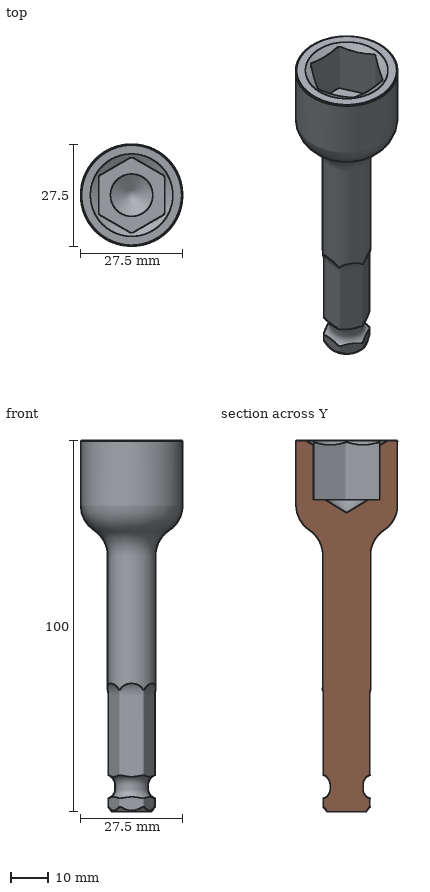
import cadquery as cq
import math

length = 100.0
head_radius = 13.75
head_height = 17.5
rim_chamfer = 0.3
blend_radius = 8.0

socket_flats = 17.8
socket_corner_radius = 1.0
socket_depth = 16.0
mouth_radius = 11.1
mouth_angle = 30.0
drill_radius = 5.7
drill_point_angle = 118.0

shank_radius = 6.5
hex_flats = 11.1
hex_corner_radius = 0.7
flat_top = 31.5
runout_radius = 5.5
flare_height = 4.0

groove_height = 6.7
neck_radius = 4.5
neck_length = 1.2
upper_groove_radius = 2.8
lower_groove_radius = 2.5
tip_radius = 5.25
tip_chamfer_height = 1.4
hex_tip_radius = (
    hex_flats / 2 / math.cos(math.radians(30))
    - hex_corner_radius * (1 / math.cos(math.radians(30)) - 1)
)


def make_body():
    """Solid of revolution: head, S-shaped shoulder and plain shank."""
    shoulder_top = length - head_height
    radial_half = (head_radius - shank_radius) / 2
    sweep = math.acos(1 - radial_half / blend_radius)
    half_height = blend_radius * math.sin(sweep)
    mid_drop = blend_radius * math.sin(sweep / 2)
    mid_inset = blend_radius * (1 - math.cos(sweep / 2))
    shoulder_bottom = shoulder_top - 2 * half_height
    return (
        cq.Workplane("XZ")
        .lineTo(shank_radius, 0)
        .lineTo(shank_radius, shoulder_bottom)
        .threePointArc(
            (shank_radius + mid_inset, shoulder_bottom + mid_drop),
            (shank_radius + radial_half, shoulder_bottom + half_height),
        )
        .threePointArc(
            (head_radius - mid_inset, shoulder_top - mid_drop),
            (head_radius, shoulder_top),
        )
        .lineTo(head_radius, length - rim_chamfer)
        .lineTo(head_radius - rim_chamfer, length)
        .lineTo(0, length)
        .close()
        .revolve(360, (0, 0, 0), (0, 1, 0))
    )


def make_flared_hexagon():
    """Rounded hexagonal bar whose flats curve outward past the shank surface."""
    flat = hex_flats / 2
    outside = flat + runout_radius
    flare_top = flat_top + runout_radius
    arc_middle = runout_radius * math.sin(math.radians(45))
    blank_radius = outside / math.cos(math.radians(30))
    cutter = (
        cq.Workplane("XZ")
        .moveTo(flat, 0)
        .lineTo(flat, flat_top)
        .threePointArc(
            (outside - arc_middle, flat_top + arc_middle),
            (outside, flare_top),
        )
        .lineTo(2 * outside, flare_top)
        .lineTo(2 * outside, 0)
        .close()
        .extrude(blank_radius, both=True)
    )
    blank_height = flat_top + flare_height
    flare = cq.Workplane("XY").circle(blank_radius).extrude(blank_height)
    for side in range(6):
        flare = flare.cut(cutter.rotate((0, 0, 0), (0, 0, 1), 30 + 60 * side))
    return flare.edges("|Z").fillet(hex_corner_radius)


def cut_drive_flats(body):
    """Remove the shank material outside the flared hexagonal bar."""
    flare = make_flared_hexagon()
    shank_blank = cq.Workplane("XY").circle(2 * shank_radius).extrude(flat_top + flare_height)
    return body.cut(shank_blank.cut(flare))


def cut_groove(body):
    """Turn the detent groove: a short neck between two concave arcs."""
    neck_top = groove_height + neck_length / 2
    neck_bottom = groove_height - neck_length / 2
    upper_middle = upper_groove_radius * math.sin(math.radians(45))
    lower_middle = lower_groove_radius * math.sin(math.radians(45))
    upper_outside = neck_radius + upper_groove_radius
    lower_outside = neck_radius + lower_groove_radius
    groove = (
        cq.Workplane("XZ")
        .moveTo(neck_radius, neck_bottom)
        .lineTo(neck_radius, neck_top)
        .threePointArc(
            (upper_outside - upper_middle, neck_top + upper_middle),
            (upper_outside, neck_top + upper_groove_radius),
        )
        .lineTo(lower_outside, neck_bottom - lower_groove_radius)
        .threePointArc(
            (lower_outside - lower_middle, neck_bottom - lower_middle),
            (neck_radius, neck_bottom),
        )
        .close()
        .revolve(360, (0, 0, 0), (0, 1, 0))
    )
    return body.cut(groove)


def chamfer_tip(body):
    """Turn a cone on the lower end so that only the hexagon corners are cut deeply."""
    slope = (hex_tip_radius - tip_radius) / tip_chamfer_height
    outside = shank_radius + 1
    cone_waste = (
        cq.Workplane("XZ")
        .moveTo(tip_radius, 0)
        .lineTo(outside, (outside - tip_radius) / slope)
        .lineTo(outside, 0)
        .close()
        .revolve(360, (0, 0, 0), (0, 1, 0))
    )
    return body.cut(cone_waste)


def make_cone(radius, height, top):
    """Cone pointing down from a circle at the given height."""
    return (
        cq.Workplane("XZ", origin=(0, 0, top))
        .lineTo(radius, 0)
        .lineTo(0, -height)
        .close()
        .revolve(360, (0, 0, 0), (0, 1, 0))
    )


def cut_socket(body):
    """Hexagonal recess with a conical mouth and a drill point in its floor."""
    floor = length - socket_depth
    corner_diameter = socket_flats / math.cos(math.radians(30))
    recess = (
        cq.Workplane("XY", origin=(0, 0, floor))
        .transformed(rotate=(0, 0, 30))
        .polygon(6, corner_diameter)
        .extrude(socket_depth)
        .edges("|Z")
        .fillet(socket_corner_radius)
    )
    mouth_depth = mouth_radius * math.tan(math.radians(mouth_angle))
    mouth = make_cone(mouth_radius, mouth_depth, length)
    drill_depth = drill_radius / math.tan(math.radians(drill_point_angle / 2))
    drill_point = make_cone(drill_radius, drill_depth, floor)
    return body.cut(recess).cut(mouth).cut(drill_point)


result = make_body()
result = cut_drive_flats(result)
result = cut_groove(result)
result = chamfer_tip(result)
result = cut_socket(result)